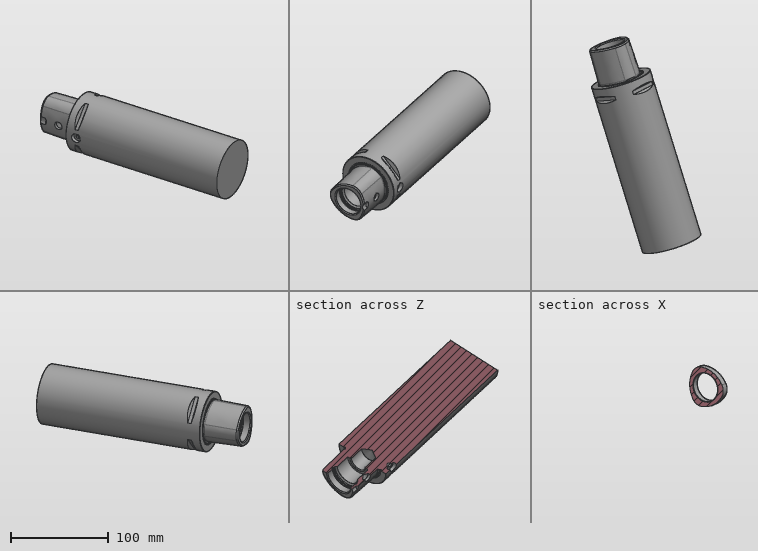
import cadquery as cq
import math

TOTAL_LENGTH = 218.0
BODY_DIAMETER = 63.0
COUPLING_LENGTH = 38.0
FLANGE_CHAMFER = 0.5

SHOULDER_MEAN_RADIUS = 22.0
LOBE_HEIGHT = 1.35
TAPER_ANGLE = math.degrees(math.atan(1 / 40))
NECK_LENGTH = 1.5
END_CHAMFER_LENGTH = 1.5
END_CHAMFER_DEPTH = 1.0

UNDERCUT_RADIUS = 24.2
UNDERCUT_FLOOR_RADIUS = 22.9
UNDERCUT_FLOOR_DEPTH = 0.5
UNDERCUT_DEPTH = 1.3
LOBE_RELIEF_RADIUS = 22.2

BORE_RADIUS = 15.0
BORE_CHAMFER = 1.0
GROOVE_RADIUS = 16.0
GROOVE_START = 8.0
GROOVE_END = 10.7
GROOVE_FLANK = 0.7
BORE_DEPTH = 12.2
INNER_BORE_RADIUS = 13.3
INNER_BORE_DEPTH = 30.5
DRILL_RADIUS = 9.2
DRILL_CHAMFER = 1.0
DRILL_DEPTH = 48.0
DRILL_POINT_ANGLE = 118.0

NOTCH_RADIUS = 5.7
NOTCH_LENGTH = 6.0
NOTCH_AXIS_RADIUS = 23.5
NOTCH_POINT_ANGLE = 90.0
DIMPLE_RADIUS = 4.4
DIMPLE_X = 22.5
DIMPLE_FLOOR_RADIUS = 17.0
SCREW_HEAD_RADIUS = 5.0
SCREW_HEAD_DEPTH = 4.4
SCREW_SOCKET_RADIUS = 2.2
SCREW_SOCKET_DEPTH = 2.2

GRIP_X = 50.0
GRIP_FLOOR_RADIUS = 28.0
GRIP_FLOOR_WIDTH = 3.7
GRIP_WALL_ANGLE = 30.0
GRIP_COUNT = 4
FIRST_GRIP_ANGLE = 45.0

BODY_RADIUS = BODY_DIAMETER / 2


def point_length(radius, point_angle=DRILL_POINT_ANGLE):
    """Length of the conical point left by a drill of this radius and full point angle."""
    return radius / math.tan(math.radians(point_angle / 2))


def polar(radius, angle, centre=(0, 0)):
    turn = math.radians(angle)
    return (centre[0] + radius * math.cos(turn), centre[1] + radius * math.sin(turn))


def lobed_prism(x_start, length, mean_radius, taper):
    """Prism along +X with three wide and three narrow tangent arcs; negative taper widens it."""
    centre_distance = 2 * LOBE_HEIGHT / (2 - math.sqrt(3))
    flat_radius = mean_radius - LOBE_HEIGHT + centre_distance
    lobe_radius = mean_radius + LOBE_HEIGHT - centre_distance
    outline = cq.Workplane("YZ", origin=(x_start, 0, 0))
    outline = outline.moveTo(*polar(lobe_radius, -30, polar(centre_distance, 0)))
    for lobe_angle in (0, 120, 240):
        lobe_centre = polar(centre_distance, lobe_angle)
        flat_angle = lobe_angle + 60
        flat_centre = polar(centre_distance, flat_angle + 180)
        outline = outline.threePointArc(
            polar(lobe_radius, lobe_angle, lobe_centre),
            polar(lobe_radius, lobe_angle + 30, lobe_centre),
        ).threePointArc(
            polar(flat_radius, flat_angle, flat_centre),
            polar(flat_radius, flat_angle + 30, flat_centre),
        )
    return outline.close().extrude(length, taper=taper)


def revolve_about_x(points):
    """Solid of revolution from (x, radius) points."""
    return cq.Workplane("XY").polyline(points).close().revolve(360, (0, 0, 0), (1, 0, 0))


def drilled_hole(origin, direction, radius, depth, point_angle=DRILL_POINT_ANGLE):
    """Drill-shaped cutter: a cylinder of the given depth with a conical point beyond it."""
    plane = cq.Plane(origin=origin, xDir=(0, 0, 1), normal=direction)
    profile = [(0, 0), (radius, 0), (radius, depth), (0, depth + point_length(radius, point_angle))]
    cutter = cq.Workplane("XY").polyline(profile).close().revolve(360, (0, 0, 0), (0, 1, 0))
    cutter = cutter.rotate((0, 0, 0), (1, 0, 0), 90)
    return cq.Workplane(cutter.val().moved(cq.Location(plane)))


def make_body():
    body = cq.Workplane("YZ", origin=(COUPLING_LENGTH, 0, 0)).circle(BODY_RADIUS)
    body = body.extrude(TOTAL_LENGTH - COUPLING_LENGTH)
    return body.faces("<X").chamfer(FLANGE_CHAMFER)


def make_undercut():
    """Ring recessed into the flange face that also trims the lobes of the neck."""
    relief_x = COUPLING_LENGTH - NECK_LENGTH
    floor_x = COUPLING_LENGTH + UNDERCUT_FLOOR_DEPTH
    lobe_tip = SHOULDER_MEAN_RADIUS + LOBE_HEIGHT
    return revolve_about_x([
        (relief_x, lobe_tip),
        (floor_x, LOBE_RELIEF_RADIUS),
        (floor_x, UNDERCUT_FLOOR_RADIUS),
        (COUPLING_LENGTH + UNDERCUT_DEPTH, UNDERCUT_RADIUS),
        (relief_x, UNDERCUT_RADIUS),
    ])


def make_coupling():
    taper_end = COUPLING_LENGTH - NECK_LENGTH
    taper_length = taper_end - END_CHAMFER_LENGTH
    start_radius = SHOULDER_MEAN_RADIUS - taper_length * math.tan(math.radians(TAPER_ANGLE))
    chamfer_angle = math.degrees(math.atan(END_CHAMFER_DEPTH / END_CHAMFER_LENGTH))
    tip = lobed_prism(0, END_CHAMFER_LENGTH, start_radius - END_CHAMFER_DEPTH, -chamfer_angle)
    taper = lobed_prism(END_CHAMFER_LENGTH, taper_length, start_radius, -TAPER_ANGLE)
    neck = lobed_prism(taper_end, NECK_LENGTH + UNDERCUT_DEPTH, SHOULDER_MEAN_RADIUS, 0)
    return tip.union(taper).union(neck)


def make_bore():
    return revolve_about_x([
        (0, 0),
        (0, BORE_RADIUS + BORE_CHAMFER),
        (BORE_CHAMFER, BORE_RADIUS),
        (GROOVE_START, BORE_RADIUS),
        (GROOVE_START + GROOVE_FLANK, GROOVE_RADIUS),
        (GROOVE_END - GROOVE_FLANK, GROOVE_RADIUS),
        (GROOVE_END, BORE_RADIUS),
        (BORE_DEPTH, BORE_RADIUS),
        (BORE_DEPTH + BORE_RADIUS - INNER_BORE_RADIUS, INNER_BORE_RADIUS),
        (INNER_BORE_DEPTH, INNER_BORE_RADIUS),
        (INNER_BORE_DEPTH, DRILL_RADIUS + DRILL_CHAMFER),
        (INNER_BORE_DEPTH + DRILL_CHAMFER, DRILL_RADIUS),
        (DRILL_DEPTH, DRILL_RADIUS),
        (DRILL_DEPTH + point_length(DRILL_RADIUS), 0),
    ])


def make_notch():
    start = (0, -NOTCH_AXIS_RADIUS, 0)
    return drilled_hole(start, (1, 0, 0), NOTCH_RADIUS, NOTCH_LENGTH, NOTCH_POINT_ANGLE)


def make_dimple():
    start = (DIMPLE_X, -SHOULDER_MEAN_RADIUS, 0)
    depth = SHOULDER_MEAN_RADIUS - DIMPLE_FLOOR_RADIUS
    return drilled_hole(start, (0, 1, 0), DIMPLE_RADIUS, depth)


def make_grip_slot():
    """Trapezoidal slot running straight across the +Z side of the body."""
    depth = BODY_RADIUS - GRIP_FLOOR_RADIUS
    floor_half = GRIP_FLOOR_WIDTH / 2
    top_half = floor_half + depth * math.tan(math.radians(GRIP_WALL_ANGLE))
    profile = [
        (GRIP_X - floor_half, GRIP_FLOOR_RADIUS),
        (GRIP_X + floor_half, GRIP_FLOOR_RADIUS),
        (GRIP_X + top_half, BODY_RADIUS),
        (GRIP_X - top_half, BODY_RADIUS),
    ]
    return cq.Workplane("XZ").polyline(profile).close().extrude(BODY_RADIUS, both=True)


def make_screw_recess():
    floor_y = -(BODY_RADIUS - SCREW_HEAD_DEPTH)
    head = cq.Workplane("XZ", origin=(GRIP_X, floor_y, 0))
    head = head.circle(SCREW_HEAD_RADIUS).extrude(SCREW_HEAD_DEPTH)
    socket = drilled_hole((GRIP_X, floor_y, 0), (0, 1, 0), SCREW_SOCKET_RADIUS, SCREW_SOCKET_DEPTH)
    return head.union(socket)


result = make_body().cut(make_undercut()).union(make_coupling().cut(make_undercut()))
for cutter in (make_bore(), make_notch(), make_dimple(), make_screw_recess()):
    result = result.cut(cutter)
for index in range(GRIP_COUNT):
    slot_angle = FIRST_GRIP_ANGLE + index * 360 / GRIP_COUNT
    result = result.cut(make_grip_slot().rotate((0, 0, 0), (1, 0, 0), slot_angle))